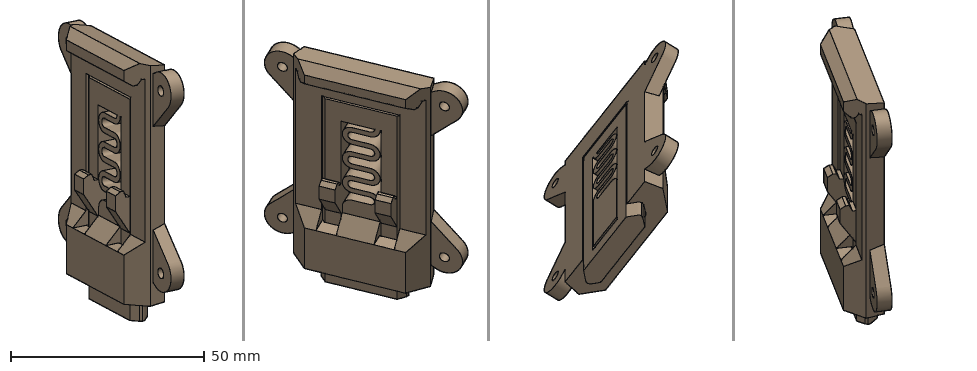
import cadquery as cq
import math


overall_width = 55.0
overall_depth = 10.0
overall_height = 72.85

body_half_width = 19.0
rim_depth = 5.0
draft_slope = 0.2
plate_depth = 6.0
body_bottom = 6.5
ramp_low = 19.95
ramp_high = ramp_low + overall_depth - plate_depth

hook_peak_depth = 7.0
hook_face_top = 70.6
hook_face_bottom = 67.7
hook_tip_outer_depth = 8.3
hook_tip_inner_depth = 7.5
hook_tip_outer_z = 66.5
hook_tip_inner_z = 66.8
hook_throat_depth = 6.6
hook_throat_z = 68.55

clearance = 0.3
slide_half_width = 10.0
slide_depth = 5.6
slide_top = 60.7
slide_flank_start = 3.8
slide_edge_depth = 3.05
slide_edge_half_width = 12.2
slide_round_radius = 1.25
window_half_width = 5.5
window_bottom = 4.95
window_top = 54.5
slot_half_width = 10.85
slot_top = 61.55

latch_face_bottom = 30.7
latch_face_top = 34.95
latch_tip_outer_depth = 8.5
latch_tip_inner_depth = 7.6
latch_tip_z = 35.85
latch_throat_depth = 6.7
latch_throat_z = 34.0

island_half_width = window_half_width - clearance
spring_pitch = 4.0
spring_thickness = 1.5
spring_runs = 6
bend_radius = spring_pitch / 2
bend_inner_radius = bend_radius - spring_thickness / 2
bend_outer_radius = bend_radius + spring_thickness / 2
bend_x = island_half_width - bend_outer_radius
first_run_z = window_top - bend_radius
island_top = first_run_z - spring_runs * spring_pitch + spring_thickness / 2

lug_radius = 5.0
lug_depth = 4.0
lug_hole_radius = 1.4
lug_x = overall_width / 2 - lug_radius
lug_root_x = 16.4
lower_lug_z = 16.4
upper_lug_z = 66.35
lug_inner_angle = 30
lug_outer_angle = 45


def prism_z(points, bottom, top):
    """Prism along Z from an outline of (x, depth) points."""
    outline = [(x, -depth) for x, depth in points]
    return cq.Workplane("XY").workplane(offset=bottom).polyline(outline).close().extrude(top - bottom)


def prism_x(points, x_start, x_end):
    """Prism along X from an outline of (depth, z) points."""
    outline = [(-depth, z) for depth, z in points]
    return cq.Workplane("YZ").workplane(offset=x_start).polyline(outline).close().extrude(x_end - x_start)


def block(x_start, x_end, depth_start, depth_end, bottom, top):
    """Axis-aligned box given by its limits in X, depth and Z."""
    size = (x_end - x_start, depth_end - depth_start, top - bottom)
    return cq.Workplane("XY").box(*size, centered=False).translate((x_start, -depth_end, bottom))


def make_body():
    """Plate with drafted sides, bottom block and top hook, bevelled at 45 degrees along both sides."""
    back_half_width = body_half_width - draft_slope * rim_depth
    front_half_width = body_half_width - (overall_depth - rim_depth)
    right_edge = [
        (back_half_width, 0),
        (body_half_width, rim_depth),
        (front_half_width, overall_depth),
    ]
    left_edge = [(-x, depth) for x, depth in reversed(right_edge)]
    section = prism_z(right_edge + left_edge, body_bottom, overall_height)

    side_profile = [
        (0, body_bottom),
        (overall_depth, body_bottom),
        (overall_depth, ramp_low),
        (plate_depth, ramp_high),
        (plate_depth, hook_throat_z),
        (hook_throat_depth, hook_throat_z),
        (hook_tip_inner_depth, hook_tip_inner_z),
        (hook_tip_outer_depth, hook_tip_outer_z),
        (overall_depth, hook_face_bottom),
        (overall_depth, hook_face_top),
        (hook_peak_depth, overall_height),
        (0, overall_height - draft_slope * hook_peak_depth),
    ]
    return section.intersect(prism_x(side_profile, -body_half_width, body_half_width))


def make_lug(hole_z, inner_direction):
    """Right-hand lug; its short edge faces inner_direction (+1 up, -1 down)."""
    inner = math.radians(lug_inner_angle)
    outer = math.radians(lug_outer_angle)
    inner_point = (-lug_radius * math.sin(inner), lug_radius * math.cos(inner))
    outer_point = (lug_radius * math.sin(outer), -lug_radius * math.cos(outer))
    root_x = lug_root_x - lug_x
    inner_root_z = inner_point[1] - (inner_point[0] - root_x) * math.tan(inner)
    outer_root_z = outer_point[1] - (outer_point[0] - root_x) * math.tan(outer)

    def place(x, z):
        return (lug_x + x, hole_z + inner_direction * z)

    arc_middle = math.radians(45)
    return (
        cq.Workplane("XZ")
        .moveTo(*place(root_x, inner_root_z))
        .lineTo(*place(*inner_point))
        .threePointArc(
            place(lug_radius * math.cos(arc_middle), lug_radius * math.sin(arc_middle)),
            place(*outer_point),
        )
        .lineTo(*place(root_x, outer_root_z))
        .close()
        .extrude(lug_depth)
        .cut(cq.Workplane("XZ").center(lug_x, hole_z).circle(lug_hole_radius).extrude(lug_depth))
    )


def slide_section(bottom):
    """Closed outline of the slide: 45 degree flanks with the back flank rounded into the widest edge."""

    def round_point(angle):
        inset = slide_round_radius * (1 - math.cos(angle))
        return slide_edge_half_width - inset, slide_edge_depth - slide_round_radius * math.sin(angle)

    flank_angle = math.radians(45)
    round_start_x, round_start_depth = round_point(flank_angle)
    round_middle_x, round_middle_depth = round_point(flank_angle / 2)
    back_x = round_start_x - round_start_depth
    flank_x = slide_half_width + slide_depth - slide_flank_start
    return (
        cq.Workplane("XY", origin=(0, 0, bottom))
        .moveTo(-back_x, 0)
        .lineTo(back_x, 0)
        .lineTo(round_start_x, -round_start_depth)
        .threePointArc((round_middle_x, -round_middle_depth), (slide_edge_half_width, -slide_edge_depth))
        .lineTo(flank_x, -slide_flank_start)
        .lineTo(slide_half_width, -slide_depth)
        .lineTo(-slide_half_width, -slide_depth)
        .lineTo(-flank_x, -slide_flank_start)
        .lineTo(-slide_edge_half_width, -slide_edge_depth)
        .threePointArc((-round_middle_x, -round_middle_depth), (-round_start_x, -round_start_depth))
        .close()
    )


def make_channel():
    """Cavity for the slide, with the open slot in front of it that lets the latch hooks through."""
    cavity = slide_section(body_bottom).offset2D(clearance, "intersection").extrude(slot_top - body_bottom)
    slot = block(-slot_half_width, slot_half_width, slide_edge_depth, overall_depth, ramp_low, slot_top)
    return cavity.union(slot)


def make_slide():
    """Latch slide with its window and a latch hook on each leg."""
    slide = slide_section(0).extrude(slide_top)
    slide = slide.cut(block(-window_half_width, window_half_width, 0, slide_depth, window_bottom, window_top))
    hook_profile = [
        (slide_depth, ramp_high),
        (overall_depth, latch_face_bottom),
        (overall_depth, latch_face_top),
        (latch_tip_outer_depth, latch_tip_z),
        (latch_tip_inner_depth, latch_tip_z),
        (latch_throat_depth, latch_throat_z),
        (slide_depth, latch_throat_z),
    ]
    latch_hook = prism_x(hook_profile, window_half_width, slide_half_width)
    return slide.union(latch_hook).union(latch_hook.mirror("YZ"))


def make_bend(side, z, bottom, top):
    """Part of a spring bend between two heights; side is +1 right, -1 left."""
    ring = (
        cq.Workplane("XZ")
        .center(side * bend_x, z)
        .circle(bend_outer_radius)
        .circle(bend_inner_radius)
        .extrude(slide_depth)
    )
    x_limits = sorted((side * bend_x, side * island_half_width))
    return ring.intersect(block(*x_limits, 0, slide_depth, bottom, top))


def make_spring():
    """Snake spring from the top of the window down to the island."""
    spring = make_bend(1, window_top, first_run_z - spring_thickness / 2, window_top)
    for index in range(spring_runs):
        run_z = first_run_z - index * spring_pitch
        bend_z = run_z - bend_radius
        side = 1 if index % 2 else -1
        run_bottom = run_z - spring_thickness / 2
        run_top = run_z + spring_thickness / 2
        spring = spring.union(block(-bend_x, bend_x, 0, slide_depth, run_bottom, run_top))
        spring = spring.union(make_bend(side, bend_z, bend_z - bend_outer_radius, bend_z + bend_outer_radius))
    return spring


def make_island():
    """Fixed core inside the window that ties the spring to the bottom block."""
    core = block(-island_half_width, island_half_width, 0, slide_depth, body_bottom, island_top)
    core = core.edges("|Y and <X and >Z").fillet(bend_outer_radius)
    last_bend_z = first_run_z - (spring_runs - 0.5) * spring_pitch
    shoulder = block(bend_x + bend_inner_radius, island_half_width, 0, slide_depth, body_bottom, last_bend_z)
    ramp_profile = [
        (slide_depth, body_bottom),
        (overall_depth, body_bottom),
        (overall_depth, ramp_low),
        (slide_depth, ramp_low + overall_depth - slide_depth),
    ]
    return core.union(shoulder).union(prism_x(ramp_profile, -island_half_width, island_half_width))


body = make_body()
for hole_z, inner_direction in ((upper_lug_z, 1), (lower_lug_z, -1)):
    lug = make_lug(hole_z, inner_direction)
    body = body.union(lug).union(lug.mirror("YZ"))

result = body.cut(make_channel()).union(make_island()).union(make_spring()).union(make_slide())